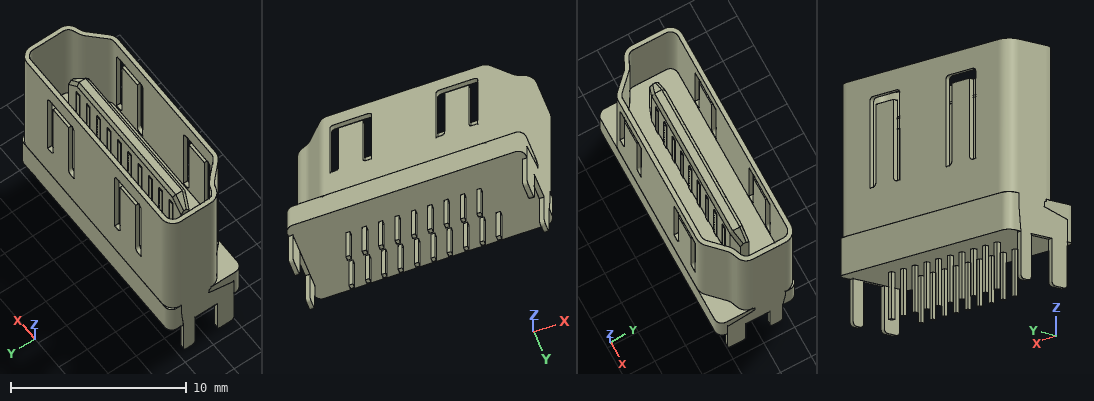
import cadquery as cq
import math

WIDTH = 14.6
DEPTH = 5.15
SHELL_TOP = 11.33
LEG_LENGTH = 2.77

BLOCK_HEIGHT = 2.23
BLOCK_CORNER_RADIUS = 0.5
PLUG_TOP = 4.53
TONGUE_TOP = 9.36
TONGUE_HALF_WIDTH = 5.45
TONGUE_HALF_THICKNESS = 0.42
TONGUE_TIP_HALF_WIDTH = 4.69
TONGUE_TIP_DROP = 0.76
TONGUE_END_FRONT = -0.15
TONGUE_CHAMFER = 0.19

PITCH = 1.0
REAR_COUNT = 10
FRONT_COUNT = 9
CONTACT_WIDTH = 0.32
CONTACT_TOP = 8.55
CONTACT_PROUD = 0.05
PIN_WIDTH = 0.25
PIN_Y = 0.9

WALL = 0.29
SHELL_BEND_RADIUS = 0.8
SHOULDER_START_Y = -0.89
SHOULDER_BEND_X = 6.32
CHAMFER_FOOT_X = 5.02

WINDOW_CENTRE_X = 3.24
WINDOW_WIDTH = 2.54
WINDOW_BOTTOM = 4.69
WINDOW_TOP = 10.05
WINDOW_RADIUS = 0.25
FINGER_WIDTH = 1.5
FINGER_TOP = 9.53

TAB_REAR = 1.77
TAB_TAPER_TOP = 1.56
LEG_REAR = 1.6
LEG_NOTCH_HALF_WIDTH = 0.79
LEG_FRONT = -1.97
LEG_TIP_RADIUS = 0.25
RELIEF_REAR = -0.19
RELIEF_LOW_REAR = 1.77
RELIEF_LOW_FRONT = 1.31
RELIEF_TOP = 2.12
RELIEF_RADIUS = 0.16

half_width = WIDTH / 2
half_depth = DEPTH / 2


def shell_outline():
    """Solid prism with the outer shape of the shell, standing on the block."""
    bend_y = -half_depth + SHOULDER_BEND_X - CHAMFER_FOOT_X
    right_side = [
        (half_width, half_depth),
        (half_width, SHOULDER_START_Y),
        (SHOULDER_BEND_X, bend_y),
        (CHAMFER_FOOT_X, -half_depth),
    ]
    left_side = [(-x, y) for x, y in reversed(right_side)]
    return (
        cq.Workplane("XY", origin=(0, 0, BLOCK_HEIGHT))
        .polyline(right_side + left_side)
        .close()
        .extrude(SHELL_TOP - BLOCK_HEIGHT)
        .edges("|Z")
        .fillet(SHELL_BEND_RADIUS)
    )


def shell_cavity(top):
    """Prism filling the inside of the shell from the block up to the given height."""
    return (
        shell_outline().faces("<Z").wires().toPending()
        .workplane(origin=(0, 0, BLOCK_HEIGHT), invert=True)
        .offset2D(-WALL)
        .extrude(top - BLOCK_HEIGHT, combine=False)
    )


def spring_window(centre_x):
    """Cutter for a front and rear window, leaving a spring finger standing in each."""
    opening = (
        cq.Workplane("XY", origin=(centre_x, 0, WINDOW_BOTTOM))
        .box(WINDOW_WIDTH, 2 * DEPTH, WINDOW_TOP - WINDOW_BOTTOM, centered=(True, True, False))
        .faces(">Z").edges("|Y").fillet(WINDOW_RADIUS)
    )
    finger = (
        cq.Workplane("XY", origin=(centre_x, 0, WINDOW_BOTTOM))
        .box(FINGER_WIDTH, 2 * DEPTH, FINGER_TOP - WINDOW_BOTTOM, centered=(True, True, False))
    )
    return (
        opening.cut(finger)
        .faces("<Z").edges("|Y").sort(lambda edge: abs(edge.Center().x - centre_x))[:2]
        .fillet(WINDOW_RADIUS)
    )


def side_tab(outer_x):
    """Flat plate continuing one side wall down to its two legs."""
    inner_x = outer_x - math.copysign(WALL, outer_x)
    plate = (
        cq.Workplane("YZ", origin=(min(outer_x, inner_x), 0, 0))
        .moveTo(TAB_REAR, BLOCK_HEIGHT)
        .lineTo(TAB_REAR, TAB_TAPER_TOP)
        .lineTo(LEG_REAR, 0)
        .lineTo(LEG_REAR, -LEG_LENGTH)
        .lineTo(LEG_NOTCH_HALF_WIDTH, -LEG_LENGTH)
        .lineTo(LEG_NOTCH_HALF_WIDTH, 0)
        .lineTo(-LEG_NOTCH_HALF_WIDTH, 0)
        .lineTo(-LEG_NOTCH_HALF_WIDTH, -LEG_LENGTH)
        .lineTo(LEG_FRONT, -LEG_LENGTH)
        .lineTo(LEG_FRONT, RELIEF_LOW_FRONT)
        .lineTo(RELIEF_REAR, RELIEF_LOW_REAR)
        .lineTo(RELIEF_REAR, RELIEF_TOP - RELIEF_RADIUS)
        .radiusArc((RELIEF_REAR - RELIEF_RADIUS, RELIEF_TOP), -RELIEF_RADIUS)
        .lineTo(RELIEF_REAR - RELIEF_RADIUS, BLOCK_HEIGHT)
        .close()
        .extrude(WALL)
    )
    return plate.faces("<Z").edges("|X").fillet(LEG_TIP_RADIUS)


def row_positions(count):
    """X positions of a centred row of contacts."""
    return [(i - (count - 1) / 2) * PITCH for i in range(count)]


def tongue():
    """Contact tongue with slanted front corners, sloped ends and a bevelled tip."""
    back = TONGUE_HALF_THICKNESS
    slope_foot = TONGUE_TOP - TONGUE_TIP_DROP
    plan = (
        cq.Workplane("XY")
        .polyline([
            (-TONGUE_HALF_WIDTH, back),
            (TONGUE_HALF_WIDTH, back),
            (TONGUE_HALF_WIDTH, TONGUE_END_FRONT),
            (TONGUE_TIP_HALF_WIDTH, -back),
            (-TONGUE_TIP_HALF_WIDTH, -back),
            (-TONGUE_HALF_WIDTH, TONGUE_END_FRONT),
        ])
        .close()
        .extrude(TONGUE_TOP)
    )
    elevation = (
        cq.Workplane("XZ")
        .polyline([
            (-TONGUE_HALF_WIDTH, 0),
            (TONGUE_HALF_WIDTH, 0),
            (TONGUE_HALF_WIDTH, slope_foot),
            (TONGUE_TIP_HALF_WIDTH, TONGUE_TOP),
            (-TONGUE_TIP_HALF_WIDTH, TONGUE_TOP),
            (-TONGUE_HALF_WIDTH, slope_foot),
        ])
        .close()
        .extrude(back, both=True)
    )
    return (
        plan.intersect(elevation)
        .edges(cq.selectors.BoxSelector((-WIDTH, -DEPTH, slope_foot), (WIDTH, DEPTH, SHELL_TOP)))
        .edges("not |Y")
        .chamfer(TONGUE_CHAMFER)
    )


def contact(x, side):
    """One contact strip lying on a face of the tongue."""
    return cq.Workplane("XY", origin=(x, side * TONGUE_HALF_THICKNESS, 0)).box(
        CONTACT_WIDTH, 2 * CONTACT_PROUD, CONTACT_TOP, centered=(True, True, False))


def solder_pin(x, side):
    """One solder pin hanging from the underside of the block."""
    return cq.Workplane("XY", origin=(x, side * PIN_Y, -LEG_LENGTH)).box(
        PIN_WIDTH, PIN_WIDTH, LEG_LENGTH, centered=(True, True, False))


def make_shell(tabs):
    """Metal shell with its spring windows and the side tabs that carry the legs."""
    body = shell_outline().cut(shell_cavity(SHELL_TOP)).union(tabs)
    for x in (-WINDOW_CENTRE_X, WINDOW_CENTRE_X):
        body = body.cut(spring_window(x))
    return body


def make_insulator(tabs):
    """Insulator block, plug and tongue with the contacts, recessed for the side tabs."""
    block = (
        cq.Workplane("XY")
        .box(WIDTH, DEPTH, BLOCK_HEIGHT, centered=(True, True, False))
        .edges("|Z").fillet(BLOCK_CORNER_RADIUS)
    )
    body = block.union(shell_cavity(PLUG_TOP)).union(tongue()).cut(tabs)
    for count, side in ((REAR_COUNT, 1), (FRONT_COUNT, -1)):
        for x in row_positions(count):
            body = body.union(contact(x, side)).union(solder_pin(x, side))
    return body


side_tabs = side_tab(half_width).union(side_tab(-half_width))
shell = make_shell(side_tabs)
insulator = make_insulator(side_tabs)
result = cq.Compound.makeCompound([shell.solids().val(), insulator.solids().val()])